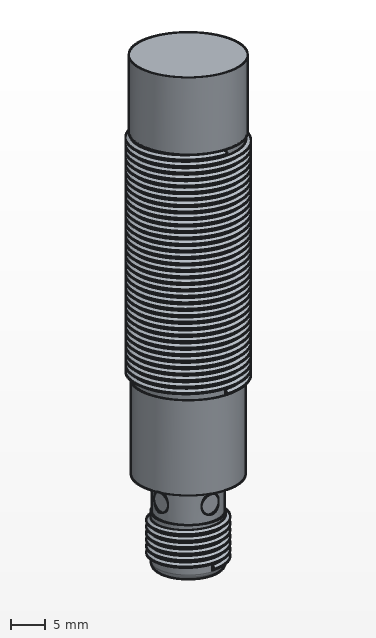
import cadquery as cq

total_length = 79.4
connector_thread_bottom = 1.2
connector_top = 8.7
neck_top = 14.5
barrel_thread_bottom = 29.3
barrel_thread_top = 67.4

head_radius = 17.1 / 2
sleeve_radius = 8.25
neck_radius = 5.25
barrel_crest_radius = 18.0 / 2
barrel_root_radius = 8.3
connector_crest_radius = 6.0
connector_root_radius = 5.4

crest_width = 0.1
ridge_base_width = 0.95
root_overlap = 0.1
barrel_thread_turns = 37
pitch = (barrel_thread_top - barrel_thread_bottom - ridge_base_width) / barrel_thread_turns

tip_rounding = 1.0

window_radius = 1.6
window_depth = 0.2
window_z = 11.4
window_count = 4


def cylinder(radius, bottom, top):
    return cq.Workplane("XY").workplane(offset=bottom).circle(radius).extrude(top - bottom)


def thread(root_radius, crest_radius, bottom, top):
    """Right-hand helical ridge whose tooth stays between bottom and top."""
    inner_radius = root_radius - root_overlap
    helix_height = top - bottom - ridge_base_width
    path = cq.Wire.makeHelix(pitch, helix_height, inner_radius)
    half_base = ridge_base_width / 2
    half_crest = crest_width / 2
    ridge = (
        cq.Workplane("XZ")
        .polyline([
            (inner_radius, -half_base),
            (crest_radius, -half_crest),
            (crest_radius, half_crest),
            (inner_radius, half_base),
        ])
        .close()
        .sweep(cq.Workplane(obj=path), isFrenet=True)
    )
    return ridge.translate((0, 0, bottom + half_base))


head = cylinder(head_radius, barrel_thread_top, total_length)
barrel = cylinder(barrel_root_radius, barrel_thread_bottom, barrel_thread_top)
sleeve = cylinder(sleeve_radius, neck_top, barrel_thread_bottom)
neck = cylinder(neck_radius, connector_top, neck_top)
connector = cylinder(connector_root_radius, 0, connector_top)
connector = connector.faces("<Z").edges().fillet(tip_rounding)

window_floor = neck_radius - window_depth
window = (
    cq.Workplane("YZ")
    .workplane(offset=window_floor)
    .center(0, window_z)
    .circle(window_radius)
    .extrude(neck_radius)
)
for index in range(window_count):
    angle = index * 360 / window_count
    neck = neck.cut(window.rotate((0, 0, 0), (0, 0, 1), angle))

barrel = barrel.union(
    thread(barrel_root_radius, barrel_crest_radius, barrel_thread_bottom, barrel_thread_top)
)
connector = connector.union(
    thread(connector_root_radius, connector_crest_radius, connector_thread_bottom, connector_top)
)

result = connector.union(neck).union(sleeve).union(barrel).union(head)